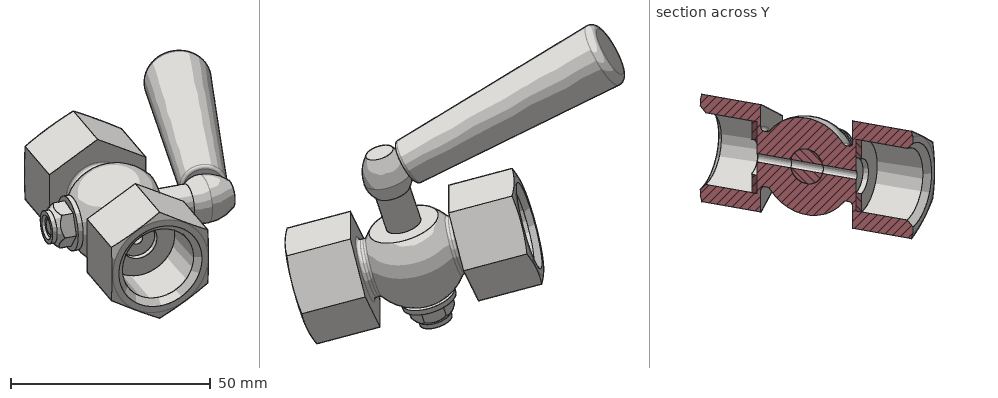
import cadquery as cq
import math


ball_radius = 13.0
ball_top = 9.4
ball_bottom = -11.7
neck_radius = 7.5
neck_fillet = 0.95
hex_inner_x = 12.8
hex_outer_x = 30.0
hex_across_flats = 26.0
hex_corner_radius = hex_across_flats / math.sqrt(3)
hex_chamfer_radius = 12.8
hex_chamfer_depth = 0.6

socket_radius = 19.1 / 2
socket_mouth_radius = 22.4 / 2
socket_mouth_depth = socket_mouth_radius - socket_radius
socket_floor_x = 14.0
gasket_hole_radius = 9.5 / 2
gasket_thickness = 1.5
passage_radius = 3.0 / 2

stem_radius = 9.0 / 2
head_widest_y = 23.4
head_top_y = 30.5
head_radius = 6.2
head_base_y = head_widest_y - math.sqrt(head_radius**2 - stem_radius**2)
head_upper_curve = 11.0
stud_radius = 4.95 / 2
stud_tip_radius = 4.2 / 2
stud_chamfer = stud_radius - stud_tip_radius
stud_recess = 0.8

washer_radius = 14.0 / 2
washer_thickness = 1.3
washer_face_y = ball_bottom - washer_thickness
nut_end_y = -18.8
nut_hole_radius = 5.0 / 2
nut_countersink_radius = 3.1
nut_countersink_depth = nut_countersink_radius - nut_hole_radius
nut_across_flats = 10.0
nut_corner_radius = nut_across_flats / math.sqrt(3)
nut_turn = -7.5
nut_collar_radius = 8.5 / 2
nut_collar_length = 1.2
nut_cone_slope = 1.0

handle_angle = 15
handle_start = 5.9
handle_length = 59.8
handle_axis_y = 24.3
handle_end_radius = 8.6
handle_start_radius = 6.0
handle_end_fillet = 2.0
handle_start_fillet = 0.9


def cylinder_y(radius, y_from, y_to):
    """Solid cylinder on the Y axis between two heights."""
    return cq.Workplane("XZ", origin=(0, y_from, 0)).circle(radius).extrude(y_from - y_to)


def arc_middle(centre, radius, start_angle, end_angle):
    """Middle point of a circular arc, with its angles in radians."""
    middle = (start_angle + end_angle) / 2
    return (centre[0] + radius * math.cos(middle), centre[1] + radius * math.sin(middle))


def ball_and_necks():
    """Ball blended into the two necks, which flare out onto the hexagon faces."""
    blend_radius = neck_radius + neck_fillet
    blend_x = math.sqrt((ball_radius + neck_fillet) ** 2 - blend_radius**2)
    blend_angle = math.atan2(blend_radius, blend_x)
    touch_x = ball_radius * math.cos(blend_angle)
    touch_y = ball_radius * math.sin(blend_angle)
    flare_x = hex_inner_x - neck_fillet
    blend_middle = arc_middle((blend_x, blend_radius), neck_fillet, blend_angle - math.pi, -math.pi / 2)
    flare_middle = arc_middle((flare_x, blend_radius), neck_fillet, -math.pi / 2, 0)
    return (
        cq.Workplane("XY")
        .moveTo(-hex_inner_x, 0)
        .lineTo(-hex_inner_x, blend_radius)
        .threePointArc((-flare_middle[0], flare_middle[1]), (-flare_x, neck_radius))
        .lineTo(-blend_x, neck_radius)
        .threePointArc((-blend_middle[0], blend_middle[1]), (-touch_x, touch_y))
        .threePointArc((0, ball_radius), (touch_x, touch_y))
        .threePointArc(blend_middle, (blend_x, neck_radius))
        .lineTo(flare_x, neck_radius)
        .threePointArc(flare_middle, (hex_inner_x, blend_radius))
        .lineTo(hex_inner_x, 0)
        .close()
        .revolve(360, (0, 0, 0), (1, 0, 0))
    )


def hex_end(side):
    """Hexagonal pipe connection with corners up and down, chamfered at its outer face."""
    hexagon = (
        cq.Workplane("YZ", origin=(side * hex_inner_x, 0, 0))
        .polygon(6, 2 * hex_corner_radius)
        .extrude(side * (hex_outer_x - hex_inner_x))
        .rotate((0, 0, 0), (1, 0, 0), 90)
    )
    chamfer_x = hex_outer_x - hex_chamfer_depth
    envelope = (
        cq.Workplane("XY")
        .moveTo(side * hex_inner_x, 0)
        .lineTo(side * hex_inner_x, hex_corner_radius)
        .lineTo(side * chamfer_x, hex_corner_radius)
        .lineTo(side * hex_outer_x, hex_chamfer_radius)
        .lineTo(side * hex_outer_x, 0)
        .close()
        .revolve(360, (0, 0, 0), (1, 0, 0))
    )
    return hexagon.intersect(envelope)


def socket(side):
    """Space of one pipe socket with its flared mouth."""
    return (
        cq.Workplane("XY")
        .moveTo(side * socket_floor_x, 0)
        .lineTo(side * socket_floor_x, socket_radius)
        .lineTo(side * (hex_outer_x - socket_mouth_depth), socket_radius)
        .lineTo(side * hex_outer_x, socket_mouth_radius)
        .lineTo(side * hex_outer_x, 0)
        .close()
        .revolve(360, (0, 0, 0), (1, 0, 0))
    )


def flow_passage():
    """Narrow straight passage between the two socket floors."""
    start = cq.Workplane("YZ", origin=(-socket_floor_x, 0, 0))
    return start.circle(passage_radius).extrude(2 * socket_floor_x)


def make_body():
    slab_width = 2 * ball_radius
    slab = cq.Workplane("XZ", origin=(0, ball_top, 0)).rect(2 * hex_inner_x, slab_width)
    body = ball_and_necks().intersect(slab.extrude(ball_top - ball_bottom))
    for side in (-1, 1):
        body = body.union(hex_end(side)).cut(socket(side))
    return body.cut(flow_passage()).cut(cylinder_y(stem_radius, ball_bottom, ball_top))


def make_gasket(side):
    """Flat sealing ring lying on a socket floor."""
    return (
        cq.Workplane("YZ", origin=(side * socket_floor_x, 0, 0))
        .circle(socket_radius)
        .circle(gasket_hole_radius)
        .extrude(side * gasket_thickness)
    )


def ball_head():
    """Head rounded as a sphere below its widest circle and as a slimmer dome above it."""
    upper_centre = (head_radius - head_upper_curve, head_widest_y)
    upper_angle = math.asin((head_top_y - head_widest_y) / head_upper_curve)
    top_radius = upper_centre[0] + head_upper_curve * math.cos(upper_angle)
    lower_angle = math.acos(stem_radius / head_radius)
    lower_middle = arc_middle((0, head_widest_y), head_radius, -lower_angle, 0)
    upper_middle = arc_middle(upper_centre, head_upper_curve, 0, upper_angle)
    return (
        cq.Workplane("XY")
        .moveTo(0, head_base_y)
        .lineTo(0, head_top_y)
        .lineTo(top_radius, head_top_y)
        .threePointArc(upper_middle, (head_radius, head_widest_y))
        .threePointArc(lower_middle, (stem_radius, head_base_y))
        .close()
        .revolve(360, (0, 0, 0), (0, 1, 0))
    )


def make_plug():
    stem = cylinder_y(stem_radius, ball_bottom, head_base_y)
    stud = cylinder_y(stud_radius, nut_end_y + stud_recess, ball_bottom).faces("<Y").chamfer(stud_chamfer)
    return stem.union(ball_head()).union(stud).cut(flow_passage())


def make_washer():
    return cylinder_y(washer_radius, washer_face_y, ball_bottom).cut(
        cylinder_y(nut_hole_radius, washer_face_y, ball_bottom)
    )


def make_nut():
    """Hexagonal lock nut whose outer end tapers to a round collar."""
    hexagon = (
        cq.Workplane("XZ", origin=(0, washer_face_y, 0))
        .polygon(6, 2 * nut_corner_radius)
        .extrude(washer_face_y - nut_end_y)
        .rotate((0, 0, 0), (0, 1, 0), -nut_turn)
    )
    cone_end_y = nut_end_y + nut_collar_length
    cone_start_y = cone_end_y + nut_cone_slope * (nut_corner_radius - nut_collar_radius)
    envelope = (
        cq.Workplane("XY")
        .moveTo(nut_hole_radius, washer_face_y)
        .lineTo(nut_corner_radius, washer_face_y)
        .lineTo(nut_corner_radius, cone_start_y)
        .lineTo(nut_collar_radius, cone_end_y)
        .lineTo(nut_collar_radius, nut_end_y)
        .lineTo(nut_countersink_radius, nut_end_y)
        .lineTo(nut_hole_radius, nut_end_y + nut_countersink_depth)
        .close()
        .revolve(360, (0, 0, 0), (0, 1, 0))
    )
    return hexagon.intersect(envelope)


def make_handle():
    """Tapered grip with rounded ends, seated against the ball head."""
    grip = (
        cq.Workplane("XY")
        .moveTo(-handle_start, 0)
        .lineTo(-handle_start, handle_start_radius)
        .lineTo(-handle_start - handle_length, handle_end_radius)
        .lineTo(-handle_start - handle_length, 0)
        .close()
        .revolve(360, (0, 0, 0), (1, 0, 0))
    )
    grip = grip.faces("<X").edges().fillet(handle_end_fillet)
    grip = grip.faces(">X").edges().fillet(handle_start_fillet)
    grip = grip.rotate((0, 0, 0), (0, 0, 1), -handle_angle).translate((0, handle_axis_y, 0))
    return grip.cut(ball_head())


body = make_body()
gaskets = [make_gasket(side) for side in (-1, 1)]
plug = make_plug()
washer = make_washer()
nut = make_nut()
handle = make_handle()

bodies = [body, *gaskets, plug, washer, nut, handle]

result = cq.Compound.makeCompound([part.solids().val() for part in bodies])